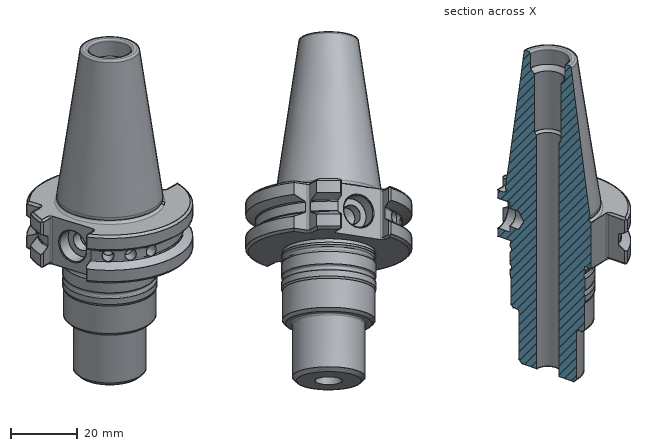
import cadquery as cq
import math

LENGTH = 107.2
FLANGE_RADIUS = 50.0 / 2
FLANGE_BOTTOM = 40.5
FLANGE_HEIGHT = 15.9
FLANGE_TOP = FLANGE_BOTTOM + FLANGE_HEIGHT
FLANGE_MIDDLE = FLANGE_BOTTOM + FLANGE_HEIGHT / 2
FLANGE_CHAMFER = 0.8

GROOVE_RADIUS = 22.1
GROOVE_FLOOR_HEIGHT = 3.4
GROOVE_FLANK_ANGLE = 30.0
GROOVE_FILLET = 0.4

TAPER_RADIUS = 32.0 / 2
TAPER_BOTTOM = 58.4
TAPER_SLOPE = 7 / 48
TAPER_END_FILLET = 0.8
RELIEF_RADIUS = 15.5
RELIEF_FILLET = 1.1
COLLAR_BOTTOM = FLANGE_TOP + RELIEF_FILLET

RING_RADIUS = 28.5 / 2
BODY_RADIUS = 28.0 / 2
NECK_RELIEF_RADIUS = 2.7
RING_TOP = 39.3
RING_BOTTOM = 28.7
BODY_TOP = 28.1
BODY_BOTTOM = 18.0
BODY_CHAMFER = 1.0
NOSE_RADIUS = 22.0 / 2
NOSE_CHAMFER = 1.2
NOSE_FILLET = 0.5

RING_BEVEL_DEPTH = 0.3
RING_GROOVE_DEPTH = 0.5
UPPER_GROOVE = {"bottom": 36.4, "top": 38.7, "bevel_height": 0.6}
LOWER_GROOVE = {"bottom": 30.6, "top": 32.6, "bevel_height": 0.3}

PILOT_RADIUS = 13.0 / 2
PILOT_DEPTH = 5.6
THREAD_RADIUS = 10.0 / 2
THREAD_DEPTH = 26.8
THROUGH_RADIUS = 8.4 / 2
BORE_CONE_ANGLE = 45.0

SLOT_HALF_WIDTH = 8.0
SLOT_FLOOR_FRONT = 18.9
SLOT_FLOOR_BACK = 16.4
SLOT_CHAMFER = 0.6
SLOT_FILLET = 0.5

NOTCH_X = 15.0
NOTCH_Y = 15.0
NOTCH_FILLET = 0.6
NOTCH_CHAMFER = 0.8

DRIVE_HOLE_RADIUS = 10.0 / 2
DRIVE_HOLE_RIM_CHAMFER = 0.27
DRIVE_HOLE_DEPTH = 4.5
DRILL_RADIUS = 6.0 / 2
DRILL_DEPTH = 7.9
DRILL_POINT_ANGLE = 118.0

BALANCE_RADIUS = 3.5 / 2
BALANCE_DEPTH = 4.3
BALANCE_ANGLES = (35.0, 53.0, 71.0)

CUT_CLEARANCE = 1.1


def drill_tip(radius):
    return radius / math.tan(math.radians(DRILL_POINT_ANGLE / 2))


def ring_groove(profile, bottom, top, bevel_height):
    """Continue an upward profile on the ring radius through one groove."""
    bevel_radius = RING_RADIUS - RING_BEVEL_DEPTH
    return (
        profile.lineTo(RING_RADIUS, bottom)
        .lineTo(bevel_radius, bottom + bevel_height)
        .threePointArc(
            (RING_RADIUS - RING_GROOVE_DEPTH, (bottom + top) / 2),
            (bevel_radius, top - bevel_height),
        )
        .lineTo(RING_RADIUS, top)
    )


def turned_body():
    flank_angle = math.radians(GROOVE_FLANK_ANGLE)
    floor_half = GROOVE_FLOOR_HEIGHT / 2
    mouth_half = floor_half + (FLANGE_RADIUS - GROOVE_RADIUS) * math.tan(flank_angle)
    tangent = GROOVE_FILLET * math.tan((math.pi / 2 - flank_angle) / 2)
    blend_radius = GROOVE_RADIUS + tangent * math.cos(flank_angle)
    blend_half = floor_half + tangent * math.sin(flank_angle)
    rim_radius = FLANGE_RADIUS - FLANGE_CHAMFER
    taper_end_radius = TAPER_RADIUS - (LENGTH - TAPER_BOTTOM) * TAPER_SLOPE
    shank = (
        cq.Workplane("XZ")
        .moveTo(0, 0)
        .lineTo(NOSE_RADIUS - NOSE_CHAMFER, 0)
        .lineTo(NOSE_RADIUS, NOSE_CHAMFER)
        .lineTo(NOSE_RADIUS, BODY_BOTTOM - NOSE_FILLET)
        .tangentArcPoint((NOSE_RADIUS + NOSE_FILLET, BODY_BOTTOM), relative=False)
        .lineTo(BODY_RADIUS - BODY_CHAMFER, BODY_BOTTOM)
        .lineTo(BODY_RADIUS, BODY_BOTTOM + BODY_CHAMFER)
        .lineTo(BODY_RADIUS, BODY_TOP)
        .lineTo(RING_RADIUS, RING_BOTTOM)
    )
    shank = ring_groove(shank, **LOWER_GROOVE)
    shank = ring_groove(shank, **UPPER_GROOVE)
    return (
        shank.lineTo(RING_RADIUS, RING_TOP)
        .radiusArc((BODY_RADIUS, FLANGE_BOTTOM), NECK_RELIEF_RADIUS)
        .lineTo(rim_radius, FLANGE_BOTTOM)
        .lineTo(FLANGE_RADIUS, FLANGE_BOTTOM + FLANGE_CHAMFER)
        .lineTo(FLANGE_RADIUS, FLANGE_MIDDLE - mouth_half)
        .lineTo(blend_radius, FLANGE_MIDDLE - blend_half)
        .tangentArcPoint((GROOVE_RADIUS, FLANGE_MIDDLE - floor_half + tangent), relative=False)
        .lineTo(GROOVE_RADIUS, FLANGE_MIDDLE + floor_half - tangent)
        .tangentArcPoint((blend_radius, FLANGE_MIDDLE + blend_half), relative=False)
        .lineTo(FLANGE_RADIUS, FLANGE_MIDDLE + mouth_half)
        .lineTo(FLANGE_RADIUS, FLANGE_TOP - FLANGE_CHAMFER)
        .lineTo(rim_radius, FLANGE_TOP)
        .lineTo(RELIEF_RADIUS + RELIEF_FILLET, FLANGE_TOP)
        .tangentArcPoint((RELIEF_RADIUS, COLLAR_BOTTOM), relative=False)
        .lineTo(TAPER_RADIUS, COLLAR_BOTTOM)
        .lineTo(TAPER_RADIUS, TAPER_BOTTOM)
        .lineTo(taper_end_radius, LENGTH)
        .lineTo(0, LENGTH)
        .close()
        .revolve(360, (0, 0), (0, 1))
    )


def axial_bore():
    slope = math.tan(math.radians(BORE_CONE_ANGLE))
    pilot_end = LENGTH - PILOT_DEPTH
    thread_end = LENGTH - THREAD_DEPTH
    return (
        cq.Workplane("XZ")
        .moveTo(0, LENGTH)
        .lineTo(PILOT_RADIUS, LENGTH)
        .lineTo(PILOT_RADIUS, pilot_end)
        .lineTo(THREAD_RADIUS, pilot_end - (PILOT_RADIUS - THREAD_RADIUS) / slope)
        .lineTo(THREAD_RADIUS, thread_end)
        .lineTo(THROUGH_RADIUS, thread_end - (THREAD_RADIUS - THROUGH_RADIUS) / slope)
        .lineTo(THROUGH_RADIUS, 0)
        .lineTo(0, 0)
        .close()
        .revolve(360, (0, 0), (0, 1))
    )


def flared_pocket(outline, flare):
    """Pocket through the flange; outline(0) is its wall and outline(flare) its bevelled rim."""

    def bevel(face_z, inward):
        rim = outline(flare).moved(cq.Location(cq.Vector(0, 0, face_z)))
        wall = outline(0).moved(cq.Location(cq.Vector(0, 0, face_z + inward * flare)))
        return cq.Workplane("XY").placeSketch(rim, wall).loft()

    pocket = cq.Workplane("XY", origin=(0, 0, FLANGE_BOTTOM)).placeSketch(outline(0)).extrude(FLANGE_HEIGHT)
    return pocket.union(bevel(FLANGE_BOTTOM, 1)).union(bevel(FLANGE_TOP, -1))


def drive_slot(floor):
    """Slot open towards +Y, with rounded floor corners and bevelled side walls."""
    depth = FLANGE_RADIUS + CUT_CLEARANCE - floor

    def outline(flare):
        return (
            cq.Sketch()
            .push([(0, floor + depth / 2)])
            .rect(2 * (SLOT_HALF_WIDTH + flare), depth)
            .reset()
            .vertices("<Y")
            .fillet(SLOT_FILLET + flare)
        )

    rim_half = SLOT_HALF_WIDTH + SLOT_CHAMFER
    rim_y = math.sqrt(FLANGE_RADIUS**2 - rim_half**2)
    mouth = (
        cq.Workplane("XY", origin=(0, 0, FLANGE_BOTTOM))
        .moveTo(-rim_half, rim_y)
        .lineTo(-SLOT_HALF_WIDTH, rim_y - SLOT_CHAMFER)
        .lineTo(SLOT_HALF_WIDTH, rim_y - SLOT_CHAMFER)
        .lineTo(rim_half, rim_y)
        .lineTo(rim_half, FLANGE_RADIUS)
        .lineTo(-rim_half, FLANGE_RADIUS)
        .close()
        .extrude(FLANGE_HEIGHT)
    )
    return flared_pocket(outline, SLOT_CHAMFER).union(mouth)


def orientation_notch():
    """Square step cut from the rim on the -X, -Y side, with a rounded inner corner."""
    reach = FLANGE_RADIUS

    def outline(flare):
        size = reach + 2 * flare
        return (
            cq.Sketch()
            .push([(-NOTCH_X - reach / 2, -NOTCH_Y - reach / 2)])
            .rect(size, size)
            .reset()
            .vertices(">X and >Y")
            .fillet(NOTCH_FILLET + flare)
        )

    return flared_pocket(outline, NOTCH_CHAMFER)


def drive_hole():
    tip = DRILL_DEPTH + drill_tip(DRILL_RADIUS)
    rim = DRIVE_HOLE_RADIUS + DRIVE_HOLE_RIM_CHAMFER
    return (
        cq.Workplane("XY", origin=(0, -SLOT_FLOOR_FRONT, FLANGE_MIDDLE))
        .lineTo(rim, 0)
        .lineTo(DRIVE_HOLE_RADIUS, DRIVE_HOLE_RIM_CHAMFER)
        .lineTo(DRIVE_HOLE_RADIUS, DRIVE_HOLE_DEPTH)
        .lineTo(DRILL_RADIUS, DRIVE_HOLE_DEPTH)
        .lineTo(DRILL_RADIUS, DRILL_DEPTH)
        .lineTo(0, tip)
        .close()
        .revolve(360, (0, 0), (0, 1))
    )


def balance_hole(angle):
    floor = GROOVE_RADIUS - BALANCE_DEPTH
    return (
        cq.Workplane("XY")
        .moveTo(0, -GROOVE_RADIUS - CUT_CLEARANCE)
        .lineTo(BALANCE_RADIUS, -GROOVE_RADIUS - CUT_CLEARANCE)
        .lineTo(BALANCE_RADIUS, -floor)
        .lineTo(0, -floor + drill_tip(BALANCE_RADIUS))
        .close()
        .revolve(360, (0, 0), (0, 1))
        .translate((0, 0, FLANGE_MIDDLE))
        .rotate((0, 0, 0), (0, 0, 1), angle)
    )


result = turned_body().cut(axial_bore()).faces(">Z").edges().fillet(TAPER_END_FILLET)
result = result.cut(drive_slot(SLOT_FLOOR_BACK))
result = result.cut(drive_slot(SLOT_FLOOR_FRONT).rotate((0, 0, 0), (0, 0, 1), 180))
result = result.cut(orientation_notch())
result = result.cut(drive_hole())
for hole_angle in BALANCE_ANGLES:
    result = result.cut(balance_hole(hole_angle))